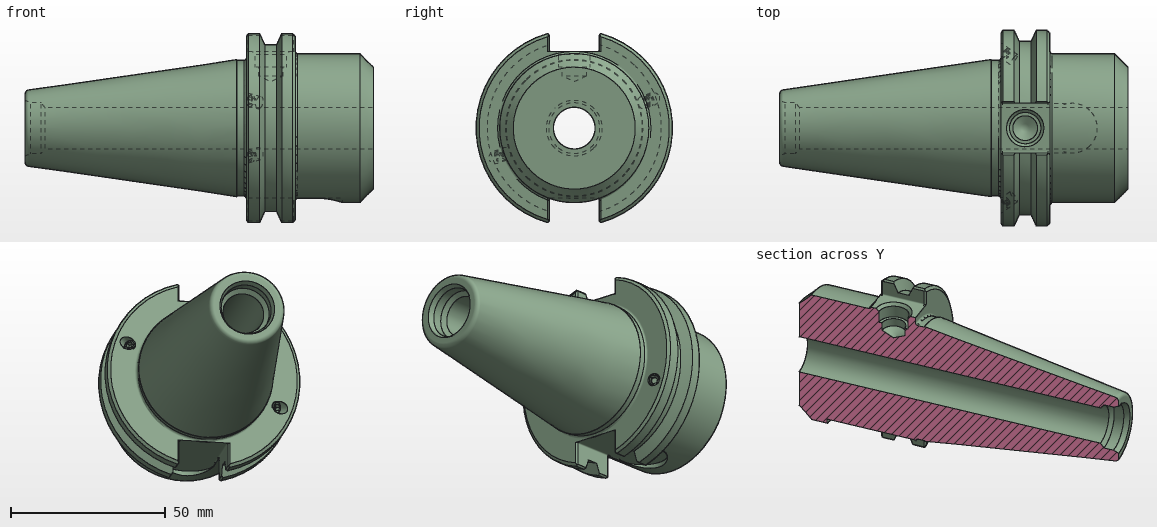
import cadquery as cq
import math

total_length = 112.7

taper_length = 68.4
taper_big_radius = 22.2
taper_small_radius = taper_big_radius - taper_length * 7 / 48
small_end_fillet = 1.5

neck_radius = 22.0
neck_step_length = 0.2
neck_fillet = 0.8

flange_start = 71.6
flange_width = 15.9
flange_end = flange_start + flange_width
flange_radius = 31.8
front_chamfer_length = 0.7
back_chamfer_length = 1.0
flange_chamfer_height = 1.0
groove_center = 79.5
groove_floor_radius = 28.2
groove_floor_half_width = 1.9
groove_mouth_half_width = 3.6

nose_radius = 24.1
nose_fillet = 0.7
nose_chamfer = 4.4

bore_radius = 13.4 / 2
counterbore_radius = 16.5 / 2
counterbore_end = 5.2
counterbore_cone_length = 1.2
mouth_radius = 9.0
mouth_length = 1.8

slot_width = 16.1
slot_edge_chamfer = 0.6
slot_corner_fillet = 0.5
top_slot_floor = 24.8
bottom_slot_floor = 22.5
bottom_slot_runout = 94.7

pocket_diameter = 10.1
pocket_depth = 5.1
pocket_mouth_diameter = 12.1
pilot_diameter = 8.0
pilot_depth = 7.9
drill_point_angle = 130.0

coolant_angles = [-159.6, 20.4]
coolant_circle_radius = 26.8
coolant_tilt = 37.0
screw_diameter = 4.1
screw_recess = 1.4
screw_chamfer = 0.5
screw_length = 4.0
socket_across_flats = 2.0
socket_depth = 1.7


def revolved_body():
    groove_left_floor = groove_center - groove_floor_half_width
    groove_right_floor = groove_center + groove_floor_half_width
    chamfer_radius = flange_radius - flange_chamfer_height
    profile = (
        cq.Workplane("XY")
        .moveTo(0, 0)
        .lineTo(0, taper_small_radius)
        .lineTo(taper_length, taper_big_radius)
        .lineTo(taper_length + neck_step_length, neck_radius)
        .lineTo(flange_start - neck_fillet, neck_radius)
        .radiusArc((flange_start, neck_radius + neck_fillet), -neck_fillet)
        .lineTo(flange_start, chamfer_radius)
        .lineTo(flange_start + front_chamfer_length, flange_radius)
        .lineTo(groove_center - groove_mouth_half_width, flange_radius)
        .lineTo(groove_left_floor, groove_floor_radius)
        .lineTo(groove_right_floor, groove_floor_radius)
        .lineTo(groove_center + groove_mouth_half_width, flange_radius)
        .lineTo(flange_end - back_chamfer_length, flange_radius)
        .lineTo(flange_end, chamfer_radius)
        .lineTo(flange_end, nose_radius + nose_fillet)
        .radiusArc((flange_end + nose_fillet, nose_radius), -nose_fillet)
        .lineTo(total_length - nose_chamfer, nose_radius)
        .lineTo(total_length, nose_radius - nose_chamfer)
        .lineTo(total_length, 0)
        .close()
    )
    body = profile.revolve(360, (0, 0, 0), (1, 0, 0))
    return body.faces("<X").edges().fillet(small_end_fillet)


def axial_bore():
    cone_end = counterbore_end + counterbore_cone_length
    profile = (
        cq.Workplane("XY")
        .moveTo(0, 0)
        .lineTo(0, mouth_radius)
        .lineTo(mouth_length, counterbore_radius)
        .lineTo(counterbore_end, counterbore_radius)
        .lineTo(cone_end, bore_radius)
        .lineTo(total_length, bore_radius)
        .lineTo(total_length, 0)
        .close()
    )
    return profile.revolve(360, (0, 0, 0), (1, 0, 0))


def flare(plane, lip, tip, length):
    """Wedge-edged prism that widens at 45 degrees from the slot width at lip toward tip."""
    half_width = slot_width / 2
    tip_half_width = half_width + abs(tip - lip)
    return (
        cq.Workplane(plane)
        .moveTo(-half_width, lip)
        .lineTo(half_width, lip)
        .lineTo(tip_half_width, tip)
        .lineTo(-tip_half_width, tip)
        .close()
        .extrude(length)
    )


def slot_cutter(floor, end):
    """Slot open toward +Z, with bevelled edges at the flange rim and at both flange faces."""
    height = flange_radius - floor
    cutter = (
        cq.Workplane("XY", origin=((flange_start + end) / 2, 0, floor))
        .box(end - flange_start, slot_width, height, centered=(True, True, False))
        .edges("|X and <Z")
        .fillet(slot_corner_fillet)
    )

    bevel_half_width = slot_width / 2 + slot_edge_chamfer
    bevel_bottom = math.sqrt(flange_radius**2 - bevel_half_width**2) - slot_edge_chamfer
    face_plane = cq.Plane.named("YZ", origin=(flange_start, 0, 0))
    rim_bevel = flare(face_plane, bevel_bottom, flange_radius, flange_width)

    floor_plane = cq.Plane(origin=(0, 0, floor), xDir=(0, -1, 0), normal=(0, 0, 1))
    front_bevel = flare(floor_plane, flange_start + slot_edge_chamfer, flange_start, height)
    back_bevel = flare(floor_plane, flange_end - slot_edge_chamfer, flange_end, height)
    return cutter.union(rim_bevel).union(front_bevel).union(back_bevel)


def bottom_slot_cutter():
    """Deeper slot that runs out into the nose with a round end."""
    round_end = (
        cq.Workplane("XY", origin=(bottom_slot_runout, 0, bottom_slot_floor))
        .circle(slot_width / 2)
        .extrude(flange_radius - bottom_slot_floor)
    )
    cutter = slot_cutter(bottom_slot_floor, bottom_slot_runout).union(round_end)
    return cutter.rotate((0, 0, 0), (1, 0, 0), 180)


def stepped_hole():
    mouth_radius_top = pocket_mouth_diameter / 2
    pocket_radius = pocket_diameter / 2
    pilot_radius = pilot_diameter / 2
    point_depth = pilot_radius / math.tan(math.radians(drill_point_angle / 2))
    profile = (
        cq.Workplane("XZ", origin=(groove_center, 0, top_slot_floor))
        .moveTo(0, 0)
        .lineTo(mouth_radius_top, 0)
        .lineTo(pocket_radius, pocket_radius - mouth_radius_top)
        .lineTo(pocket_radius, -pocket_depth)
        .lineTo(pilot_radius, -pocket_depth)
        .lineTo(pilot_radius, -pilot_depth)
        .lineTo(0, -pilot_depth - point_depth)
        .close()
    )
    return profile.revolve(360, (0, 0, 0), (0, 1, 0))


def coolant_plane(angle, depth):
    """Plane across a coolant hole; its normal points into the hole, toward the X axis."""
    tilt = math.radians(coolant_tilt)
    turn = math.radians(angle)
    outward = cq.Vector(0, math.cos(turn), math.sin(turn))
    inward_axis = cq.Vector(math.cos(tilt), 0, 0) - outward * math.sin(tilt)
    mouth = cq.Vector(flange_start, 0, 0) + outward * coolant_circle_radius
    tangent = cq.Vector(0, -math.sin(turn), math.cos(turn))
    return cq.Plane(origin=mouth + inward_axis * depth, xDir=tangent, normal=inward_axis)


def coolant_hole(angle):
    lead_in = 2 * screw_diameter
    depth = lead_in + screw_recess + screw_length
    return cq.Workplane(coolant_plane(angle, -lead_in)).circle(screw_diameter / 2).extrude(depth)


def make_set_screw(angle):
    socket_circumscribed = socket_across_flats / math.cos(math.pi / 6)
    head = coolant_plane(angle, screw_recess)
    socket = cq.Workplane(head).polygon(6, socket_circumscribed).extrude(socket_depth)
    shank = cq.Workplane(head).circle(screw_diameter / 2).extrude(screw_length)
    head_face = cq.selectors.NearestToPointSelector(head.origin.toTuple())
    return shank.faces(head_face).chamfer(screw_chamfer).cut(socket)


def make_holder():
    body = revolved_body()
    body = body.cut(axial_bore())
    body = body.cut(slot_cutter(top_slot_floor, flange_end))
    body = body.cut(bottom_slot_cutter())
    body = body.cut(stepped_hole())
    for angle in coolant_angles:
        body = body.cut(coolant_hole(angle))
    return body


holder = make_holder()
set_screws = [make_set_screw(angle) for angle in coolant_angles]

result = cq.Compound.makeCompound([holder.val(), *[screw.val() for screw in set_screws]])